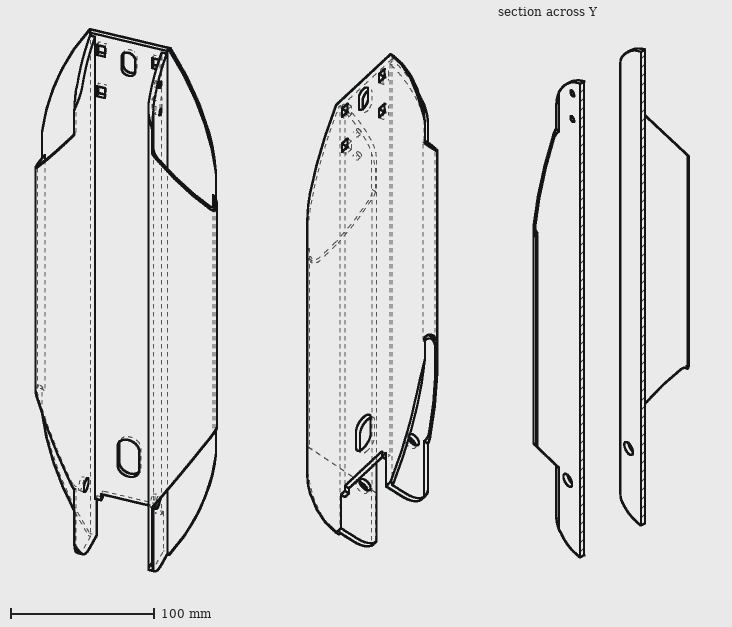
import cadquery as cq
import math

WIDTH = 134.0
DEPTH = 34.89
LENGTH = 465.0
HALF_WIDTH = WIDTH / 2
BACK_Y = DEPTH / 2
TOP_Z = LENGTH / 2
BOTTOM_Z = -TOP_Z
CUT_MARGIN = 10.0

PLATE_THICKNESS = 2.5
WEB_THICKNESS = 3.6
LEG_THICKNESS = 3.8
WING_SKIN = 1.5
CHANNEL_HALF_WIDTH = 24.7
EDGE_RADIUS = 8.0
FOOT_RADIUS = 5.0
CAVITY_RADIUS = 3.0
WING_RADIUS = 100.0

TIP_HALF_WIDTH = 30.0
TRIM_INSET = 0.8
EDGE_TRIM_LENGTH = 130.0
SKIN_CUT_HALF_WIDTH = 28.9
SKIN_CUT_INNER_LENGTH = 69.0
SKIN_CUT_OUTER_LENGTH = 131.0
TOP_LEG_RADIUS = 50.0
TOP_LEG_START = 49.0
BOTTOM_LEG_RADIUS = 20.0

WEB_END = 42.0
WEB_TAB_END = 36.4
WEB_TAB_HALF_GAP = 20.3

TOP_SLOT_WIDTH = 10.0
TOP_SLOT_LENGTH = 21.0
TOP_SLOT_DROP = 20.8
BOTTOM_SLOT_WIDTH = 16.0
BOTTOM_SLOT_LENGTH = 33.6
BOTTOM_SLOT_RISE = 81.0
WINDOW_WIDTH = 6.0
WINDOW_HEIGHT = 9.0
WINDOW_OFFSET = 20.5
WINDOW_DROPS = (14.5, 52.5)
LEG_HOLE_DIAMETER = 10.0
LEG_HOLE_DEPTH = 21.9
LEG_HOLE_RISE = 64.0
PIN_HOLE_DIAMETER = 4.5
PIN_HOLE_DEPTH = 16.5
PIN_HOLE_DROPS = (21.0, 46.0)


def front_of_back(distance):
    """Y of a plane lying the given distance in front of the back face."""
    return BACK_Y - distance


def point_toward(origin, target, distance):
    """Point at a distance from origin along the direction from origin to target."""
    span = math.dist(origin, target)
    return tuple(o + (t - o) * distance / span for o, t in zip(origin, target))


EDGE_CENTRE = (HALF_WIDTH - EDGE_RADIUS, front_of_back(EDGE_RADIUS))
FOOT_CENTRE = (CHANNEL_HALF_WIDTH + FOOT_RADIUS, FOOT_RADIUS - BACK_Y)


def wing_arc_centre():
    """Centre of the wing arc, which encloses and touches the edge and foot circles."""
    to_edge = WING_RADIUS - EDGE_RADIUS
    to_foot = WING_RADIUS - FOOT_RADIUS
    span = math.dist(EDGE_CENTRE, FOOT_CENTRE)
    along = (to_edge**2 - to_foot**2 + span**2) / (2 * span)
    across = math.sqrt(to_edge**2 - along**2)
    ux = (FOOT_CENTRE[0] - EDGE_CENTRE[0]) / span
    uy = (FOOT_CENTRE[1] - EDGE_CENTRE[1]) / span
    return (EDGE_CENTRE[0] + ux * along + uy * across, EDGE_CENTRE[1] + uy * along - ux * across)


WING_CENTRE = wing_arc_centre()


def wing_point(target, inset):
    """Point of the wing arc, inset from its outer face, in the direction of target."""
    return point_toward(WING_CENTRE, target, WING_RADIUS - inset)


def edge_mid_point(radius, end):
    """Middle of the edge arc that runs from the back plate round to end."""
    end_angle = math.atan2(end[1] - EDGE_CENTRE[1], end[0] - EDGE_CENTRE[0])
    angle = (math.pi / 2 + end_angle) / 2
    return (EDGE_CENTRE[0] + radius * math.cos(angle), EDGE_CENTRE[1] + radius * math.sin(angle))


def wing_start(inset):
    """Where the edge arc, inset from the outer face, runs into the wing arc."""
    return wing_point(EDGE_CENTRE, inset)


def half_outline():
    """Outer outline of the +X half of the section, with the channel open to the front."""
    edge_end = wing_start(0)
    foot_start = wing_point(FOOT_CENTRE, 0)
    skin_mid = ((edge_end[0] + foot_start[0]) / 2, (edge_end[1] + foot_start[1]) / 2)
    foot_end = (CHANNEL_HALF_WIDTH, FOOT_CENTRE[1])
    foot_corner = (CHANNEL_HALF_WIDTH, -BACK_Y)
    web_front = front_of_back(WEB_THICKNESS)
    return (
        cq.Workplane("XY", origin=(0, 0, BOTTOM_Z))
        .moveTo(0, BACK_Y)
        .lineTo(EDGE_CENTRE[0], BACK_Y)
        .threePointArc(edge_mid_point(EDGE_RADIUS, edge_end), edge_end)
        .threePointArc(wing_point(skin_mid, 0), foot_start)
        .threePointArc(point_toward(FOOT_CENTRE, foot_corner, FOOT_RADIUS), foot_end)
        .lineTo(CHANNEL_HALF_WIDTH, web_front)
        .lineTo(0, web_front)
        .close()
        .extrude(LENGTH)
    )


def wing_cavity():
    """Hollow of the +X wing, between the leg, the back plate and the wing skin."""
    leg_outer = CHANNEL_HALF_WIDTH + LEG_THICKNESS
    plate_front = front_of_back(PLATE_THICKNESS)
    inner_radius = EDGE_RADIUS - WING_SKIN
    edge_start_x = EDGE_CENTRE[0] + math.sqrt(inner_radius**2 - (plate_front - EDGE_CENTRE[1]) ** 2)
    edge_end = wing_start(WING_SKIN)
    edge_mid = (EDGE_CENTRE[0] + inner_radius, EDGE_CENTRE[1])
    skin_radius = WING_RADIUS - WING_SKIN
    skin_end_y = WING_CENTRE[1] - math.sqrt(skin_radius**2 - (leg_outer - WING_CENTRE[0]) ** 2)
    skin_end = (leg_outer, skin_end_y)
    skin_mid = ((edge_end[0] + skin_end[0]) / 2, (edge_end[1] + skin_end[1]) / 2)
    return (
        cq.Workplane("XY", origin=(0, 0, BOTTOM_Z))
        .moveTo(leg_outer, plate_front)
        .lineTo(edge_start_x, plate_front)
        .threePointArc(edge_mid, edge_end)
        .threePointArc(wing_point(skin_mid, WING_SKIN), skin_end)
        .close()
        .extrude(LENGTH)
        .edges(cq.selectors.NearestToPointSelector((leg_outer, skin_end_y, 0)))
        .fillet(CAVITY_RADIUS)
    )


def extruded_profile():
    """Full-length extrusion with a hollow wing on each side of the channel."""
    half = half_outline().cut(wing_cavity())
    return half.union(half.mirror("YZ"))


def plan_outline():
    """Boat-shaped plan that narrows the part toward both ends."""
    end_drop = HALF_WIDTH - TRIM_INSET - TIP_HALF_WIDTH
    trim_radius = (EDGE_TRIM_LENGTH**2 + end_drop**2) / (2 * end_drop)
    arc_x = HALF_WIDTH - TRIM_INSET
    arc_z = TOP_Z - EDGE_TRIM_LENGTH
    mid_rise = EDGE_TRIM_LENGTH / 2
    mid_x = arc_x - trim_radius + math.sqrt(trim_radius**2 - mid_rise**2)
    mid_z = arc_z + mid_rise
    return (
        cq.Workplane("XZ")
        .moveTo(TIP_HALF_WIDTH, TOP_Z)
        .threePointArc((mid_x, mid_z), (arc_x, arc_z))
        .lineTo(HALF_WIDTH, arc_z)
        .lineTo(HALF_WIDTH, -arc_z)
        .lineTo(arc_x, -arc_z)
        .threePointArc((mid_x, -mid_z), (TIP_HALF_WIDTH, BOTTOM_Z))
        .lineTo(-TIP_HALF_WIDTH, BOTTOM_Z)
        .threePointArc((-mid_x, -mid_z), (-arc_x, -arc_z))
        .lineTo(-HALF_WIDTH, -arc_z)
        .lineTo(-HALF_WIDTH, arc_z)
        .lineTo(-arc_x, arc_z)
        .threePointArc((-mid_x, mid_z), (-TIP_HALF_WIDTH, TOP_Z))
        .close()
        .extrude(DEPTH, both=True)
    )


def skin_cut(side, end):
    """Body that removes the wing skin at one corner; side and end are +1 or -1."""
    outer_x = HALF_WIDTH + CUT_MARGIN
    slope = (SKIN_CUT_OUTER_LENGTH - SKIN_CUT_INNER_LENGTH) / (HALF_WIDTH - SKIN_CUT_HALF_WIDTH)
    outer_length = SKIN_CUT_OUTER_LENGTH + slope * CUT_MARGIN
    corners = [
        (SKIN_CUT_HALF_WIDTH, TOP_Z + CUT_MARGIN),
        (SKIN_CUT_HALF_WIDTH, TOP_Z - SKIN_CUT_INNER_LENGTH),
        (outer_x, TOP_Z - outer_length),
        (outer_x, TOP_Z + CUT_MARGIN),
    ]
    return (
        cq.Workplane("XZ", origin=(0, front_of_back(PLATE_THICKNESS), 0))
        .polyline([(side * x, end * z) for x, z in corners])
        .close()
        .extrude(DEPTH)
    )


def leg_end_cut(end, radius, arc_start, rear_y):
    """Body that rounds the front of both legs at one end, stopping at rear_y.

    The arc is tangent to the front of the part at arc_start from the end.
    """
    centre_y = radius - BACK_Y
    reach = min(rear_y, centre_y)
    arc_z = TOP_Z - arc_start
    rear_z = arc_z + math.sqrt(radius**2 - (reach - centre_y) ** 2)
    mid_angle = math.acos((centre_y - reach) / radius) / 2
    mid = (centre_y - radius * math.cos(mid_angle), arc_z + radius * math.sin(mid_angle))
    front_y = -BACK_Y - CUT_MARGIN
    return (
        cq.Workplane("YZ")
        .moveTo(reach, end * (TOP_Z + CUT_MARGIN))
        .lineTo(reach, end * rear_z)
        .threePointArc((mid[0], end * mid[1]), (-BACK_Y, end * arc_z))
        .lineTo(front_y, end * arc_z)
        .lineTo(front_y, end * (TOP_Z + CUT_MARGIN))
        .close()
        .extrude(WIDTH, both=True)
    )


def bottom_notch(half_width, height):
    """Rectangular body that clears the web up to a height above the bottom end."""
    plane = cq.Workplane("XZ").center(0, BOTTOM_Z + height / 2)
    return plane.rect(2 * half_width, height).extrude(DEPTH, both=True)


def web_slot(width, length, z):
    return cq.Workplane("XZ").center(0, z).slot2D(length, width, 90).extrude(DEPTH, both=True)


def web_windows():
    spots = [(side * WINDOW_OFFSET, TOP_Z - drop) for side in (-1, 1) for drop in WINDOW_DROPS]
    plane = cq.Workplane("XZ").pushPoints(spots)
    return plane.rect(WINDOW_WIDTH, WINDOW_HEIGHT).extrude(DEPTH, both=True)


def leg_holes():
    """Cross hole through both legs."""
    plane = cq.Workplane("YZ").center(front_of_back(LEG_HOLE_DEPTH), BOTTOM_Z + LEG_HOLE_RISE)
    return plane.circle(LEG_HOLE_DIAMETER / 2).extrude(SKIN_CUT_HALF_WIDTH, both=True)


def pin_holes():
    """Small holes through the +X leg near the top end."""
    spots = [(front_of_back(PIN_HOLE_DEPTH), TOP_Z - drop) for drop in PIN_HOLE_DROPS]
    plane = cq.Workplane("YZ").pushPoints(spots)
    return plane.circle(PIN_HOLE_DIAMETER / 2).extrude(SKIN_CUT_HALF_WIDTH)


result = extruded_profile().intersect(plan_outline())
for side in (-1, 1):
    for end in (-1, 1):
        result = result.cut(skin_cut(side, end))
leg_root = front_of_back(WEB_THICKNESS)
result = result.cut(leg_end_cut(1, TOP_LEG_RADIUS, TOP_LEG_START, leg_root))
result = result.cut(leg_end_cut(-1, BOTTOM_LEG_RADIUS, BOTTOM_LEG_RADIUS, leg_root))
result = result.cut(bottom_notch(CHANNEL_HALF_WIDTH, WEB_TAB_END))
result = result.cut(bottom_notch(WEB_TAB_HALF_GAP, WEB_END))
result = result.cut(web_slot(TOP_SLOT_WIDTH, TOP_SLOT_LENGTH, TOP_Z - TOP_SLOT_DROP))
result = result.cut(web_slot(BOTTOM_SLOT_WIDTH, BOTTOM_SLOT_LENGTH, BOTTOM_Z + BOTTOM_SLOT_RISE))
result = result.cut(web_windows()).cut(leg_holes()).cut(pin_holes())